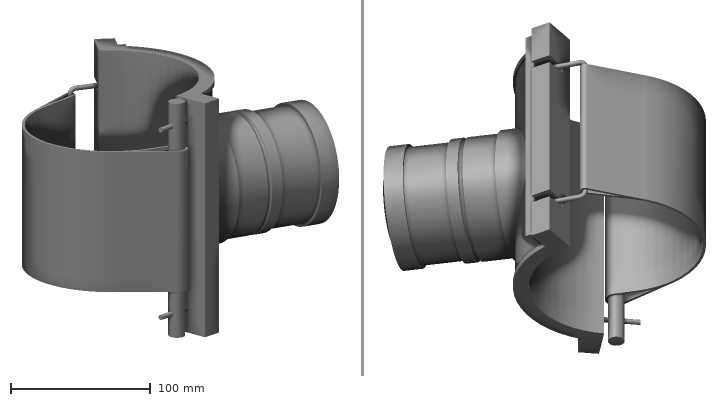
import cadquery as cq
import math


height = 176.0
bore_radius = 62.5
lip_radius = 74.0
lip_height = 3.7
shell_radius = 72.3
flange_angle = 20.0
flange_reach = 90.0
flange_thickness = 15.0

slot_width = 5.8
slot_end = 71.5

base_radius = 47.3
collar_radius = 45.0
neck_radius = 42.77
base_end = 78.5
groove_start = 103.0
groove_end = 106.5
neck_start = 115.0
cap_start = 146.5
cap_end = 160.7
dome_top = 167.6

strap_width = 105.5
strap_thickness = 2.0
strap_radius = 64.2 - strap_thickness / 2

rod_radius = 6.0
rod_reach = 71.6
rod_drop = 10.0
pin_radius = 1.9
pin_length = 27.4
pin_height = 70.5

wire_radius = 1.9
wire_x = -75.1
wire_y = 6.5
leg_height = 57.0
bend_radius = 4.5
bar_start = 71.9
bar_end = 86.5
bar_thickness = 7.5
leg_end_reach = 82.0


def flange_point(reach, rise, side):
    """XY point at a distance along and above a clamping face; side is +1 right, -1 left."""
    angle = math.radians(flange_angle)
    x = reach * math.cos(angle) - rise * math.sin(angle)
    y = reach * math.sin(angle) + rise * math.cos(angle)
    return side * x, y


def polar(center, radius, angle):
    return center[0] + radius * math.cos(angle), center[1] + radius * math.sin(angle)


def prism(outline, length):
    """Closed polygon extruded evenly to both sides of Z = 0."""
    return cq.Workplane("XY").polyline(outline).close().extrude(length / 2, both=True)


def disc(radius, length):
    return cq.Workplane("XY").circle(radius).extrude(length / 2, both=True)


def flange_block(reach_from, reach_to, rise_from, rise_to, side, length):
    """Rectangular block laid along a clamping face."""
    corners = [(reach_from, rise_from), (reach_to, rise_from), (reach_to, rise_to), (reach_from, rise_to)]
    return prism([flange_point(reach, rise, side) for reach, rise in corners], length)


def make_branch():
    """Solid spigot with a collar, a rounded groove, a neck and a domed cap."""
    groove_radius = (groove_end - groove_start) / 2
    groove_middle = (groove_start + groove_end) / 2
    dome_height = dome_top - cap_end
    dome_radius = (neck_radius**2 + dome_height**2) / (2 * dome_height)
    half_dome_angle = math.asin(neck_radius / dome_radius) / 2
    dome_middle = polar((0, dome_top - dome_radius), dome_radius, math.pi / 2 - half_dome_angle)
    return (
        cq.Workplane("XY")
        .lineTo(base_radius, 0)
        .lineTo(base_radius, base_end)
        .lineTo(collar_radius, base_end)
        .lineTo(collar_radius, groove_start)
        .threePointArc((collar_radius - groove_radius, groove_middle), (collar_radius, groove_end))
        .lineTo(collar_radius, neck_start)
        .lineTo(neck_radius, neck_start)
        .lineTo(neck_radius, cap_start)
        .lineTo(collar_radius, cap_start)
        .lineTo(collar_radius, cap_end)
        .lineTo(neck_radius, cap_end)
        .threePointArc(dome_middle, (0, dome_top))
        .close()
        .revolve(360, (0, 0, 0), (0, 1, 0))
    )


def cut_hook_slots(saddle):
    """Open-edged slots with a round closed end, one per leg of the hook."""
    along_x, along_y = flange_point(1, 0, -1)
    normal_x, normal_y = flange_point(0, 1, -1)
    face = cq.Plane(origin=(0, 0, 0), xDir=(along_x, along_y, 0), normal=(normal_x, normal_y, 0))
    slot_length = 2 * (flange_reach - slot_end)
    for z in (-leg_height, leg_height):
        slot = (
            cq.Workplane(face)
            .center(slot_end + slot_length / 2, z)
            .slot2D(slot_length, slot_width)
            .extrude(flange_thickness)
        )
        saddle = saddle.cut(slot)
    return saddle


def make_saddle():
    sector = prism(
        [
            (0, 0),
            flange_point(2 * lip_radius, 0, 1),
            flange_point(2 * lip_radius, 2 * lip_radius, 1),
            flange_point(2 * lip_radius, 2 * lip_radius, -1),
            flange_point(2 * lip_radius, 0, -1),
        ],
        height,
    )
    lips = disc(lip_radius, height).cut(disc(lip_radius, height - 2 * lip_height))
    saddle = disc(shell_radius, height).union(lips).intersect(sector)
    for side in (-1, 1):
        flange = flange_block(bore_radius, flange_reach, 0, flange_thickness, side, height)
        saddle = saddle.union(flange)
    saddle = saddle.union(make_branch()).cut(disc(bore_radius, height))
    return cut_hook_slots(saddle)


def tangent_normal(center, radius, side, crossed):
    """Angle of the normal of a line touching both the strap circle and an end loop."""
    gap = strap_radius + radius if crossed else strap_radius - radius
    toward_loop = math.atan2(center[1], center[0]) % (2 * math.pi)
    return toward_loop - side * math.acos(gap / math.hypot(*center))


def strap_arc(center, radius, start, end):
    """Strap stretch bent counterclockwise from the start angle to the end angle."""
    outer = radius + strap_thickness / 2
    inner = radius - strap_thickness / 2
    middle = (start + end) / 2
    return (
        cq.Workplane("XY")
        .moveTo(*polar(center, outer, start))
        .threePointArc(polar(center, outer, middle), polar(center, outer, end))
        .lineTo(*polar(center, inner, end))
        .threePointArc(polar(center, inner, middle), polar(center, inner, start))
        .close()
        .extrude(strap_width / 2, both=True)
    )


def strap_straight(start, end, normal):
    """Straight strap stretch between two points on its middle line."""
    half = strap_thickness / 2
    outline = [
        polar(start, half, normal),
        polar(end, half, normal),
        polar(end, -half, normal),
        polar(start, -half, normal),
    ]
    return prism(outline, strap_width)


def make_strap_end(center, radius, side):
    """Loop around a rod or wire, with both straight runs back to the strap circle."""
    inner_normal = tangent_normal(center, radius, side, True)
    outer_normal = tangent_normal(center, radius, side, False)
    inner_run = strap_straight(
        polar((0, 0), strap_radius, inner_normal), polar(center, -radius, inner_normal), inner_normal
    )
    outer_run = strap_straight(
        polar((0, 0), strap_radius, outer_normal), polar(center, radius, outer_normal), outer_normal
    )
    inner_end = inner_normal + side * math.pi
    loop = strap_arc(center, radius, min(inner_end, outer_normal), max(inner_end, outer_normal))
    return loop.union(inner_run).union(outer_run)


def make_rod(center):
    """Full-height rod with two cross pins that bear on the right clamping face."""
    rod = disc(rod_radius, height).translate((*center, 0))
    pin_start = flange_point(rod_reach, 0, 1)
    down_x, down_y = flange_point(0, -1, 1)
    for z in (-pin_height, pin_height):
        pin = cq.Solid.makeCylinder(
            pin_radius, pin_length, cq.Vector(*pin_start, z), cq.Vector(down_x, down_y, 0)
        )
        rod = rod.union(cq.Workplane(pin))
    return rod


def make_hook(center):
    """U-shaped wire whose legs run through the flange slots into the bar."""
    leg_end = flange_point(leg_end_reach, flange_thickness + bar_thickness / 2, -1)
    run_x = leg_end[0] - center[0]
    run_y = leg_end[1] - center[1]
    leg_length = math.hypot(run_x, run_y)
    plane = cq.Plane(origin=(*center, 0), xDir=(run_x, run_y, 0), normal=(run_y, -run_x, 0))
    bend_start = leg_height - bend_radius
    bend_middle = polar((bend_radius, bend_start), bend_radius, 0.75 * math.pi)
    path = (
        cq.Workplane(plane)
        .moveTo(leg_length, -leg_height)
        .lineTo(bend_radius, -leg_height)
        .threePointArc((bend_middle[0], -bend_middle[1]), (0, -bend_start))
        .lineTo(0, bend_start)
        .threePointArc(bend_middle, (bend_radius, leg_height))
        .lineTo(leg_length, leg_height)
    )
    section = cq.Plane(origin=(*leg_end, -leg_height), xDir=(0, 0, 1), normal=(-run_x, -run_y, 0))
    wire = cq.Workplane(section).circle(wire_radius).sweep(path)
    bar = flange_block(
        bar_start, bar_end, flange_thickness, flange_thickness + bar_thickness, -1, height - 2 * lip_height
    )
    return wire.union(bar)


def make_clamp():
    rod_center = flange_point(rod_reach, -rod_drop, 1)
    rod_loop_radius = rod_radius + strap_thickness / 2
    wire_center = (wire_x, wire_y)
    wire_loop_radius = wire_radius + strap_thickness / 2
    band = strap_arc(
        (0, 0),
        strap_radius,
        tangent_normal(wire_center, wire_loop_radius, -1, True),
        tangent_normal(rod_center, rod_loop_radius, 1, True) + 2 * math.pi,
    )
    return (
        band.union(make_strap_end(rod_center, rod_loop_radius, 1))
        .union(make_strap_end(wire_center, wire_loop_radius, -1))
        .union(make_rod(rod_center))
        .union(make_hook(wire_center))
    )


saddle = make_saddle()
clamp = make_clamp()
result = cq.Compound.makeCompound([saddle.solids().val(), clamp.solids().val()])